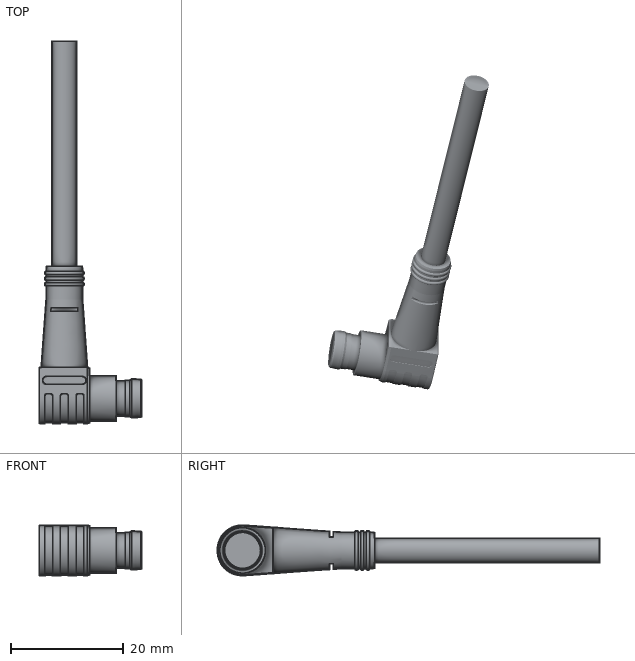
import cadquery as cq
import math


BODY_WIDTH = 9.0
BODY_RADIUS = 4.5
BODY_REAR_Y = 5.5
BODY_TAPER = math.radians(4.2)
BODY_RIGHT_X = BODY_WIDTH / 2
LEFT_EDGE_RADIUS = 0.25
RIGHT_CHAMFER_LENGTH = 0.45
RIGHT_CHAMFER_DEPTH = 0.15

GRIP_COUNT = 3
GRIP_WIDTH = 1.4
GRIP_PITCH = 2.78
GRIP_DEPTH = 0.13
GRIP_END_Y = 0.8
GRIP_END_RADIUS = 0.4
CUTTER_OVERHANG = 1.0

RECESS_LENGTH = 7.7
RECESS_WIDTH = 1.4
RECESS_DEPTH = 0.1
RECESS_Y = 3.2

CABLE_DIAMETER = 4.4
CABLE_END_Y = 63.5
SLEEVE_DIAMETER = 6.5
SLEEVE_END_DIAMETER = 6.3
SLEEVE_END_Y = 23.5
SLEEVE_END_CHAMFER = 0.4
CONE_START_Y = 17.6
CONE_BASE_DIAMETER = 8.25
RIB_DIAMETER = 7.0
RIB_COUNT = 3
RIB_FIRST_Y = 20.28
RIB_PITCH = 1.0
RIB_WIDTH = 0.6
NOTCH_Y = 15.8
NOTCH_WIDTH = 0.6
NOTCH_FLOOR_Z = 2.4

COLLAR_DIAMETER = 8.1
COLLAR_LENGTH = 4.7
NECK_DIAMETER = 6.3
NECK_LENGTH = 1.6
SHOULDER_DIAMETER = 6.5
SHOULDER_LENGTH = 0.85
HEAD_DIAMETER = 6.9
HEAD_RAMP_LENGTH = 0.35
HEAD_LAND_LENGTH = 0.45
HEAD_FRONT_DIAMETER = 6.75
TIP_DIAMETER = 6.4
TIP_CHAMFER_LENGTH = 0.25
PLUG_END_X = 13.8


def flank_z(y, radius):
    """Height of the tapered flank that is tangent to a circle of the given radius."""
    return (radius - y * math.sin(BODY_TAPER)) / math.cos(BODY_TAPER)


def body_profile(radius, rear_y):
    """Rounded front end with two tapered flanks, in the YZ plane at X = 0."""
    tangent_y = radius * math.sin(BODY_TAPER)
    tangent_z = radius * math.cos(BODY_TAPER)
    rear_z = flank_z(rear_y, radius)
    return (
        cq.Workplane("YZ")
        .moveTo(rear_y, rear_z)
        .lineTo(tangent_y, tangent_z)
        .threePointArc((-radius, 0), (tangent_y, -tangent_z))
        .lineTo(rear_y, -rear_z)
        .close()
    )


def make_body():
    block = body_profile(BODY_RADIUS, BODY_REAR_Y).extrude(BODY_WIDTH / 2, both=True)
    block = block.faces(">X").chamfer(RIGHT_CHAMFER_LENGTH, RIGHT_CHAMFER_DEPTH)
    block = block.faces("<X").edges().fillet(LEFT_EDGE_RADIUS)
    return block


def make_grip_groove(center_x):
    """Cutter for one groove: a rounded-end strip, hollowed out down to the groove floor."""
    strip_length = BODY_RADIUS + GRIP_END_Y + CUTTER_OVERHANG
    strip = (
        cq.Workplane("XY")
        .center(center_x, GRIP_END_Y - strip_length / 2)
        .rect(GRIP_WIDTH, strip_length)
        .extrude(BODY_RADIUS + CUTTER_OVERHANG, both=True)
        .edges("|Z and >Y")
        .fillet(GRIP_END_RADIUS)
    )
    floor = body_profile(BODY_RADIUS - GRIP_DEPTH, BODY_REAR_Y).extrude(BODY_WIDTH, both=True)
    return strip.cut(floor)


def make_recess():
    """Cutter for the marking recess on the upper flank."""
    flank = cq.Plane(
        origin=(0, RECESS_Y, flank_z(RECESS_Y, BODY_RADIUS)),
        xDir=(1, 0, 0),
        normal=(0, math.sin(BODY_TAPER), math.cos(BODY_TAPER)),
    )
    return cq.Workplane(flank).slot2D(RECESS_LENGTH, RECESS_WIDTH).extrude(-RECESS_DEPTH)


def make_sleeve_and_cable():
    profile = [
        (0, BODY_REAR_Y),
        (CONE_BASE_DIAMETER / 2, BODY_REAR_Y),
        (SLEEVE_DIAMETER / 2, CONE_START_Y),
        (SLEEVE_DIAMETER / 2, SLEEVE_END_Y - SLEEVE_END_CHAMFER),
        (SLEEVE_END_DIAMETER / 2, SLEEVE_END_Y),
        (CABLE_DIAMETER / 2, SLEEVE_END_Y),
        (CABLE_DIAMETER / 2, CABLE_END_Y),
        (0, CABLE_END_Y),
    ]
    return cq.Workplane("XY").polyline(profile).close().revolve(360, (0, 0), (0, 1))


def make_rib(center_y):
    """Rounded ring around the sleeve."""
    base_radius = SLEEVE_DIAMETER / 2
    return (
        cq.Workplane("XY")
        .moveTo(0, center_y - RIB_WIDTH / 2)
        .lineTo(base_radius, center_y - RIB_WIDTH / 2)
        .threePointArc((RIB_DIAMETER / 2, center_y), (base_radius, center_y + RIB_WIDTH / 2))
        .lineTo(0, center_y + RIB_WIDTH / 2)
        .close()
        .revolve(360, (0, 0), (0, 1))
    )


def make_notch():
    """Cutter for the flat-bottomed notch across the top of the cone."""
    return (
        cq.Workplane("XY")
        .box(CONE_BASE_DIAMETER, NOTCH_WIDTH, CONE_BASE_DIAMETER, centered=(True, True, False))
        .translate((0, NOTCH_Y, NOTCH_FLOOR_Z))
    )


def make_plug():
    collar_end = BODY_RIGHT_X + COLLAR_LENGTH
    neck_end = collar_end + NECK_LENGTH
    shoulder_end = neck_end + SHOULDER_LENGTH
    ramp_end = shoulder_end + HEAD_RAMP_LENGTH
    land_end = ramp_end + HEAD_LAND_LENGTH
    profile = [
        (0, 0),
        (0, COLLAR_DIAMETER / 2),
        (collar_end, COLLAR_DIAMETER / 2),
        (collar_end, NECK_DIAMETER / 2),
        (neck_end, NECK_DIAMETER / 2),
        (neck_end, SHOULDER_DIAMETER / 2),
        (shoulder_end, SHOULDER_DIAMETER / 2),
        (ramp_end, HEAD_DIAMETER / 2),
        (land_end, HEAD_DIAMETER / 2),
        (PLUG_END_X - TIP_CHAMFER_LENGTH, HEAD_FRONT_DIAMETER / 2),
        (PLUG_END_X, TIP_DIAMETER / 2),
        (PLUG_END_X, 0),
    ]
    return cq.Workplane("XY").polyline(profile).close().revolve(360, (0, 0), (1, 0))


body = make_body()
for index in range(GRIP_COUNT):
    body = body.cut(make_grip_groove((index - (GRIP_COUNT - 1) / 2) * GRIP_PITCH))

recess = make_recess()
body = body.cut(recess).cut(recess.mirror("XY"))

sleeve = make_sleeve_and_cable()
for index in range(RIB_COUNT):
    sleeve = sleeve.union(make_rib(RIB_FIRST_Y + index * RIB_PITCH))

notch = make_notch()
sleeve = sleeve.cut(notch).cut(notch.mirror("XY"))

result = body.union(sleeve).union(make_plug())